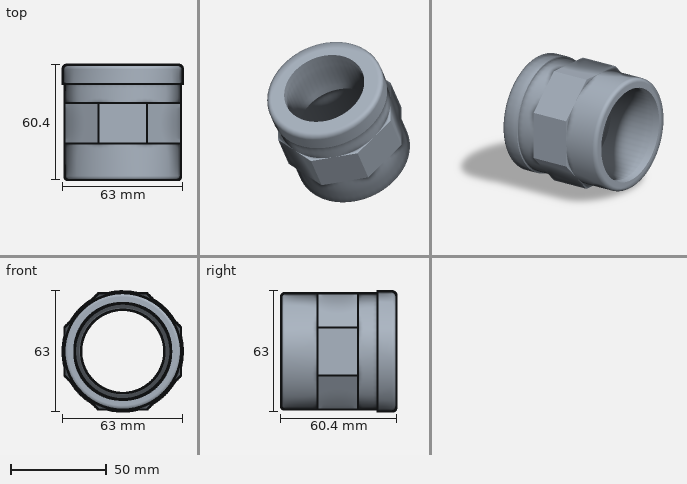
import cadquery as cq

length = 60.4
body_diameter = 61.0
front_rounding = 2.0
front_face = -length / 2
back_face = length / 2

collar_diameter = 63.0
collar_length = 10.0
collar_rounding = 2.5

octagon_sides = 8
octagon_start = 19.1
octagon_length = 21.2

passage_diameter = 43.5
front_bore_diameter = 50.0
front_bore_depth = 30.9
mouth_diameter = 50.8
mouth_depth = 3.8


def cylinder(diameter, start, height):
    """Cylinder along +Y whose first face lies at Y = start."""
    return (
        cq.Workplane("XZ", origin=(0, start, 0))
        .circle(diameter / 2)
        .extrude(-height)
    )


def make_body():
    body = cylinder(body_diameter, front_face, length - collar_length)
    return body.faces("<Y").edges().fillet(front_rounding)


def make_collar():
    collar = cylinder(collar_diameter, back_face - collar_length, collar_length)
    return collar.faces(">Y").edges().fillet(collar_rounding)


def make_octagon():
    return (
        cq.Workplane("XZ", origin=(0, front_face + octagon_start, 0))
        .polygon(octagon_sides, body_diameter, circumscribed=True)
        .extrude(-octagon_length)
    )


def make_bore():
    passage = cylinder(passage_diameter, front_face, length)
    front_bore = cylinder(front_bore_diameter, front_face, front_bore_depth)
    mouth = (
        cq.Workplane("XZ", origin=(0, front_face, 0))
        .circle(mouth_diameter / 2)
        .workplane(offset=-mouth_depth)
        .circle(front_bore_diameter / 2)
        .loft(ruled=True)
    )
    return passage.union(front_bore).union(mouth)


result = make_body().union(make_collar()).union(make_octagon()).cut(make_bore())